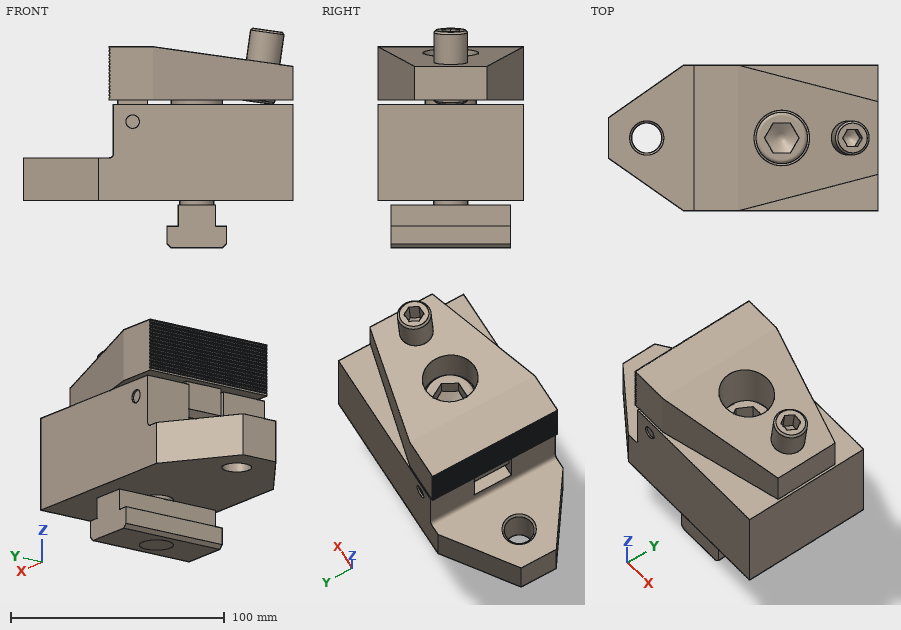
import cadquery as cq
import math

BASE_LENGTH = 126.0
BASE_WIDTH = 68.0
BASE_TOP = 45.0
NOSE_TOP = 20.0
NOSE_TIP_WIDTH = 19.0
NOSE_LENGTH = 35.0
STEP_X = 42.0
STEP_FILLET = 1.9
MOUNT_X = 17.9
MOUNT_DIA = 14.0
MOUNT_CHAMFER = 1.0

JAW_GAP = 2.0
JAW_BOTTOM = BASE_TOP + JAW_GAP
JAW_HEIGHT = 25.0
JAW_TOP = JAW_BOTTOM + JAW_HEIGHT
JAW_FRONT_X = 40.0
SLOPE_START_X = 60.7
SLOPE_ANGLE = 8.0
JAW_BACK_WIDTH = 34.0
GROOVE_COUNT = 14
TOP_LAND = 0.65
GROOVE_PITCH = 1.7
GROOVE_WIDTH = 1.22
GROOVE_FLOOR = 0.3
GROOVE_DEPTH = 0.5
ACCESS_DIA = 26.0

TONGUE_X = 51.0
TONGUE_LENGTH = 14.0
TONGUE_WIDTH = 20.2
TONGUE_BOTTOM = 30.7
TONGUE_CHAMFER = 3.0
SLOT_BOTTOM = 25.0
SLOT_CLEARANCE = 2.1

PIN_X = TONGUE_X
PIN_Z = 36.9
PIN_DIA = 6.3
PIN_RECESS = 0.9

CLAMP_X = 81.0
SHANK_DIA = 16.0
HEAD_DIA = 24.1
HEAD_HEIGHT = 16.0
HEAD_FILLET = 1.8
HEAD_SEAT = 34.0
CLAMP_HEX = 14.0
CLAMP_HEX_DEPTH = 8.1

NUT_TOP = -2.0
NUT_BOTTOM = -22.0
NUT_LENGTH = 56.0
NUT_NECK_WIDTH = 17.5
NUT_FLANGE_WIDTH = 28.0
NUT_FLANGE_TOP = -12.0
NUT_CHAMFER = 1.9

SET_DIA = 15.9
SET_LENGTH = 34.0
SET_CHAMFER = 1.0
SET_END_X = 109.4
SET_HEX = 8.1
SET_HEX_DEPTH = 9.1

DRILL_POINT_ANGLE = 120.0


def hex_socket(across_flats, depth):
    """Socket cutter going down from the origin: a hexagon that ends in a drill cone."""
    corner_radius = across_flats / math.sqrt(3)
    cone_depth = corner_radius / math.tan(math.radians(DRILL_POINT_ANGLE / 2))
    full_turn = 360
    hexagon = (
        cq.Workplane("XY")
        .polygon(6, 2 * corner_radius)
        .extrude(-(depth + cone_depth))
    )
    drill = (
        cq.Workplane("XZ")
        .polyline([(0, 0), (corner_radius, 0), (corner_radius, -depth), (0, -depth - cone_depth)])
        .close()
        .revolve(full_turn, (0, 0, 0), (0, 1, 0))
    )
    return hexagon.intersect(drill)


def clamp_screw_blank():
    """Clamp screw without its socket, from the underside of the T-nut up to the head."""
    shank = (
        cq.Workplane("XY", origin=(CLAMP_X, 0, NUT_BOTTOM))
        .circle(SHANK_DIA / 2)
        .extrude(HEAD_SEAT - NUT_BOTTOM)
    )
    head = (
        cq.Workplane("XY", origin=(CLAMP_X, 0, HEAD_SEAT))
        .circle(HEAD_DIA / 2)
        .extrude(HEAD_HEIGHT)
        .faces(">Z")
        .fillet(HEAD_FILLET)
    )
    return shank.union(head)


def make_clamp_screw():
    socket = hex_socket(CLAMP_HEX, CLAMP_HEX_DEPTH)
    return clamp_screw_blank().cut(socket.translate((CLAMP_X, 0, HEAD_SEAT + HEAD_HEIGHT)))


def place_on_set_screw_axis(body):
    """Tilt a body built up from the origin and move it so that its lower rim meets the base top."""
    end_radius = SET_DIA / 2 - SET_CHAMFER
    end_z = BASE_TOP + end_radius * math.sin(math.radians(SLOPE_ANGLE))
    return body.rotate((0, 0, 0), (0, 1, 0), SLOPE_ANGLE).translate((SET_END_X, 0, end_z))


def set_screw_rod():
    return cq.Workplane("XY").circle(SET_DIA / 2).extrude(SET_LENGTH)


def make_set_screw():
    socket = hex_socket(SET_HEX, SET_HEX_DEPTH).translate((0, 0, SET_LENGTH))
    screw = set_screw_rod().faces("<Z or >Z").chamfer(SET_CHAMFER).cut(socket)
    return place_on_set_screw_axis(screw)


def pin_rod(length):
    """Rod on the hinge axis, centred across the width."""
    return (
        cq.Workplane("XZ", origin=(PIN_X, length / 2, PIN_Z))
        .circle(PIN_DIA / 2)
        .extrude(length)
    )


def make_base():
    profile = [
        (0, 0),
        (BASE_LENGTH, 0),
        (BASE_LENGTH, BASE_TOP),
        (STEP_X, BASE_TOP),
        (STEP_X, NOSE_TOP),
        (0, NOSE_TOP),
    ]
    block = cq.Workplane("XZ").polyline(profile).close().extrude(BASE_WIDTH / 2, both=True)
    block = block.edges(cq.selectors.NearestToPointSelector((STEP_X, 0, NOSE_TOP))).fillet(STEP_FILLET)

    half_width = BASE_WIDTH / 2
    half_tip = NOSE_TIP_WIDTH / 2
    outline = [
        (0, -half_tip),
        (NOSE_LENGTH, -half_width),
        (BASE_LENGTH, -half_width),
        (BASE_LENGTH, half_width),
        (NOSE_LENGTH, half_width),
        (0, half_tip),
    ]
    block = block.intersect(cq.Workplane("XY").polyline(outline).close().extrude(BASE_TOP))

    mount_hole = cq.Workplane("XY", origin=(MOUNT_X, 0, 0)).circle(MOUNT_DIA / 2).extrude(NOSE_TOP)
    mount_countersink = cq.Workplane("XY").add(
        cq.Solid.makeCone(
            MOUNT_DIA / 2,
            MOUNT_DIA / 2 + MOUNT_CHAMFER,
            MOUNT_CHAMFER,
            pnt=cq.Vector(MOUNT_X, 0, NOSE_TOP - MOUNT_CHAMFER),
        )
    )

    slot_back = TONGUE_X + TONGUE_LENGTH / 2 + SLOT_CLEARANCE
    slot = cq.Workplane("XY", origin=(STEP_X, 0, SLOT_BOTTOM)).box(
        slot_back - STEP_X, TONGUE_WIDTH, BASE_TOP - SLOT_BOTTOM, centered=(False, True, False)
    )
    return (
        block.cut(mount_hole)
        .cut(mount_countersink)
        .cut(slot)
        .cut(pin_rod(BASE_WIDTH))
        .cut(clamp_screw_blank())
    )


def jaw_profile():
    """Side outline of the jaw, with trapezoidal grooves down its front."""
    slope_drop = (BASE_LENGTH - SLOPE_START_X) * math.tan(math.radians(SLOPE_ANGLE))
    points = [
        (JAW_FRONT_X, JAW_BOTTOM),
        (BASE_LENGTH, JAW_BOTTOM),
        (BASE_LENGTH, JAW_TOP - slope_drop),
        (SLOPE_START_X, JAW_TOP),
        (JAW_FRONT_X, JAW_TOP),
    ]
    flank_height = (GROOVE_WIDTH - GROOVE_FLOOR) / 2
    first_groove_top = JAW_TOP - TOP_LAND
    for index in range(GROOVE_COUNT):
        groove_top = first_groove_top - index * GROOVE_PITCH
        points.append((JAW_FRONT_X, groove_top))
        points.append((JAW_FRONT_X + GROOVE_DEPTH, groove_top - flank_height))
        points.append((JAW_FRONT_X + GROOVE_DEPTH, groove_top - flank_height - GROOVE_FLOOR))
        points.append((JAW_FRONT_X, groove_top - GROOVE_WIDTH))
    return points


def make_jaw():
    body = cq.Workplane("XZ").polyline(jaw_profile()).close().extrude(BASE_WIDTH / 2, both=True)

    half_front = BASE_WIDTH / 2
    half_back = JAW_BACK_WIDTH / 2
    outline = [
        (JAW_FRONT_X, -half_front),
        (SLOPE_START_X, -half_front),
        (BASE_LENGTH, -half_back),
        (BASE_LENGTH, half_back),
        (SLOPE_START_X, half_front),
        (JAW_FRONT_X, half_front),
    ]
    plan = cq.Workplane("XY", origin=(0, 0, JAW_BOTTOM)).polyline(outline).close().extrude(JAW_HEIGHT)

    tongue = (
        cq.Workplane("XY", origin=(TONGUE_X, 0, TONGUE_BOTTOM))
        .box(TONGUE_LENGTH, TONGUE_WIDTH, JAW_BOTTOM - TONGUE_BOTTOM, centered=(True, True, False))
        .edges("|Y and <Z")
        .chamfer(TONGUE_CHAMFER)
    )
    access_hole = (
        cq.Workplane("XY", origin=(CLAMP_X, 0, JAW_BOTTOM))
        .circle(ACCESS_DIA / 2)
        .extrude(JAW_HEIGHT)
    )
    tapped_hole = place_on_set_screw_axis(set_screw_rod().translate((0, 0, -SET_CHAMFER)))
    return (
        body.intersect(plan)
        .union(tongue)
        .cut(access_hole)
        .cut(tapped_hole)
        .cut(pin_rod(BASE_WIDTH))
    )


def make_nut():
    flange = (
        cq.Workplane("XY", origin=(CLAMP_X, 0, NUT_BOTTOM))
        .box(NUT_FLANGE_WIDTH, NUT_LENGTH, NUT_FLANGE_TOP - NUT_BOTTOM, centered=(True, True, False))
        .edges("|Y and <Z")
        .chamfer(NUT_CHAMFER)
    )
    neck = cq.Workplane("XY", origin=(CLAMP_X, 0, NUT_FLANGE_TOP)).box(
        NUT_NECK_WIDTH, NUT_LENGTH, NUT_TOP - NUT_FLANGE_TOP, centered=(True, True, False)
    )
    return flange.union(neck).cut(clamp_screw_blank())


base = make_base()
jaw = make_jaw()
hinge_pin = pin_rod(BASE_WIDTH - 2 * PIN_RECESS)
clamp_screw = make_clamp_screw()
set_screw = make_set_screw()
nut = make_nut()

bodies = [base, jaw, hinge_pin, clamp_screw, set_screw, nut]
result = cq.Compound.makeCompound([body.solids().val() for body in bodies])